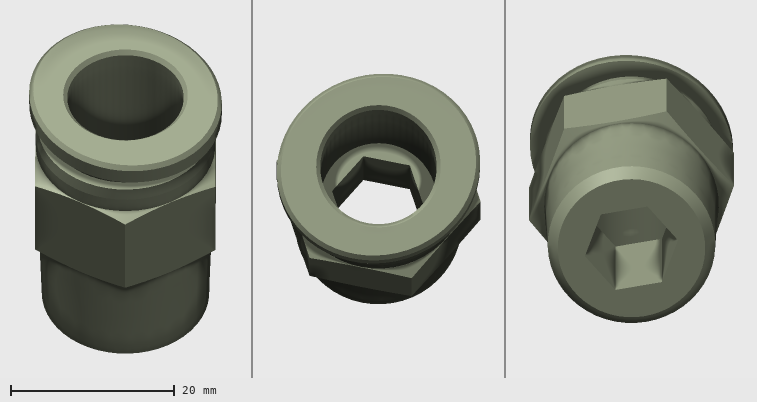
import cadquery as cq
import math

total_height = 36.5
thread_chamfer_height = 1.25
hex_bottom = 15.0
hex_top = 27.5
collar_straight_top = 29.5
collar_top = 31.05
step_top = 32.7
flange_bottom = 34.0

thread_large_radius = 10.65
thread_taper = 1 / 16
thread_end_radius = 9.0
thread_small_radius = thread_large_radius - (hex_bottom - thread_chamfer_height) * thread_taper / 2

hex_across_flats = 22.0
hex_chamfer_angle = 18.0
hex_corner_radius = hex_across_flats / math.sqrt(3)
hex_inner_radius = hex_across_flats / 2
hex_chamfer_slope = math.tan(math.radians(hex_chamfer_angle))
hex_top_chamfer_drop = (hex_corner_radius - hex_inner_radius) * hex_chamfer_slope
hex_bottom_chamfer_rise = (hex_corner_radius - thread_large_radius) * hex_chamfer_slope

collar_radius = 10.95
collar_top_radius = 10.7
step_radius = 9.5
neck_radius = 8.55

flange_half_length = 12.5
flange_half_width = 11.5
flange_chamfer = 0.5

bore_radius = 7.1
bore_mouth_chamfer = 0.5
bore_floor = hex_bottom
socket_across_flats = 10.0


def hexagon(across_flats, bottom, height):
    """Hexagonal prism with flats facing X and corners on Y."""
    corner_diameter = across_flats * 2 / math.sqrt(3)
    return (
        cq.Workplane("XY")
        .workplane(offset=bottom)
        .transformed(rotate=(0, 0, 90))
        .polygon(6, corner_diameter)
        .extrude(height)
    )


def revolve_profile(radius_height_pairs):
    """Solid of revolution about Z from an outline in radius and height."""
    return (
        cq.Workplane("XZ")
        .polyline(radius_height_pairs)
        .close()
        .revolve(360, (0, 0, 0), (0, 1, 0))
    )


def turned_body():
    """Tapered thread, core inside the wrench hexagon, collar, step and neck."""
    return revolve_profile([
        (0, 0),
        (thread_end_radius, 0),
        (thread_small_radius, thread_chamfer_height),
        (thread_large_radius, hex_bottom),
        (thread_large_radius, hex_top),
        (collar_radius, hex_top),
        (collar_radius, collar_straight_top),
        (collar_top_radius, collar_top),
        (step_radius, collar_top),
        (step_radius, step_top),
        (neck_radius, step_top),
        (neck_radius, flange_bottom),
        (0, flange_bottom),
    ])


def wrench_hexagon():
    """Hexagon chamfered by cones: from its flats outwards on top, from the thread outwards below."""
    envelope = revolve_profile([
        (0, hex_bottom),
        (thread_large_radius, hex_bottom),
        (hex_corner_radius, hex_bottom + hex_bottom_chamfer_rise),
        (hex_corner_radius, hex_top - hex_top_chamfer_drop),
        (hex_inner_radius, hex_top),
        (0, hex_top),
    ])
    return hexagon(hex_across_flats, hex_bottom, hex_top - hex_bottom).intersect(envelope)


def release_flange():
    """Elliptical disc with a chamfered top rim."""
    return (
        cq.Workplane("XY")
        .workplane(offset=flange_bottom)
        .ellipse(flange_half_length, flange_half_width)
        .extrude(total_height - flange_bottom)
        .faces(">Z")
        .edges()
        .chamfer(flange_chamfer)
    )


def tube_bore():
    """Round blind bore, flared at its mouth."""
    return revolve_profile([
        (0, bore_floor),
        (bore_radius, bore_floor),
        (bore_radius, total_height - bore_mouth_chamfer),
        (bore_radius + bore_mouth_chamfer, total_height),
        (0, total_height),
    ])


def key_socket():
    """Hexagon key hole from the bore floor through the threaded end."""
    return hexagon(socket_across_flats, 0, bore_floor)


result = (
    turned_body()
    .union(wrench_hexagon())
    .union(release_flange())
    .cut(tube_bore())
    .cut(key_socket())
)